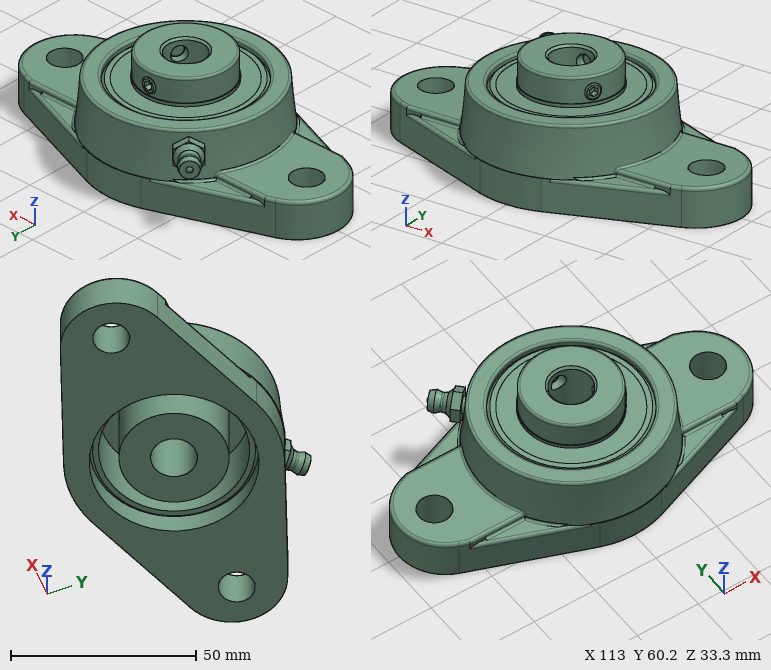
import cadquery as cq
import math

flange_length = 113.0
disc_radius = 29.8
disc_edge_x = 10.1
end_radius = 15.1
bolt_hole_diameter = 10.0
bolt_hole_x = 45.0
pad_height = 12.0
pad_half_width = 15.3
web_height = 10.1
edge_round = 1.0
square_edge_x = 12.4
root_fillet = 0.7
pad_root_end = 38.9

boss_top = 25.5
boss_foot_radius = 30.1
boss_top_radius = 28.6
boss_waist_radius = 29.2
boss_round = 0.8
seat_diameter = 45.8
seat_mouth_round = 0.8

ring_top = 24.5
ring_bottom = 5.6
ring_edge_chamfer = 0.9
shield_diameter = 40.8
shield_thickness = 1.7
shoulder_diameter = 29.7
shoulder_top = 25.5
collar_diameter = 29.2
collar_top = 33.3
collar_bottom = 2.3
collar_round = 0.7
bore_diameter = 12.7
bore_chamfer = 0.7

screw_diameter = 5.0
screw_z = 28.6
screw_outer_end = 14.8
screw_inner_end = 8.5
screw_chamfer = 0.5
socket_width = 2.5
socket_depth = 2.3
screw_azimuths = (-30.0, 90.0)

nipple_azimuth = 135.0
nipple_z = 19.3
stem_diameter = 5.0
stem_start = 26.0
hex_start = 29.7
hex_end = 32.4
hex_corner_diameter = 10.0
cone_base_radius = 4.3
cone_tip = 33.8
cone_tip_radius = 3.0
neck_start = 34.9
neck_end = 35.5
neck_radius = 2.7
head_widest = 37.2
head_radius = 3.3
head_end = 39.0
head_end_radius = 2.8
ball_diameter = 2.3
ball_projection = 0.6


def cylinder(diameter, bottom, top):
    return cq.Workplane("XY").workplane(offset=bottom).circle(diameter / 2).extrude(top - bottom)


def radial_plane(azimuth, distance, height):
    """Plane facing away from the bore axis, its local Y pointing up."""
    angle = math.radians(azimuth)
    outward = cq.Vector(math.cos(angle), math.sin(angle), 0)
    sideways = cq.Vector(-math.sin(angle), math.cos(angle), 0)
    origin = outward * distance + cq.Vector(0, 0, height)
    return cq.Plane(origin=origin, xDir=sideways, normal=outward)


def flange_outline(height, inset=0.0):
    """Disc and two rounded ends joined by straight edges that meet the ends tangentially."""
    end_x = flange_length / 2 - end_radius
    disc_edge_y = math.sqrt(disc_radius**2 - disc_edge_x**2)
    reach = math.hypot(end_x - disc_edge_x, disc_edge_y)
    to_disc = math.atan2(disc_edge_y, disc_edge_x - end_x)
    tangent_angle = to_disc - math.acos(end_radius / reach)
    tangent_x = end_x + end_radius * math.cos(tangent_angle)
    tangent_y = end_radius * math.sin(tangent_angle)
    return (
        cq.Workplane("XY")
        .moveTo(-disc_edge_x, disc_edge_y)
        .threePointArc((0, disc_radius), (disc_edge_x, disc_edge_y))
        .lineTo(tangent_x, tangent_y)
        .threePointArc((flange_length / 2, 0), (tangent_x, -tangent_y))
        .lineTo(disc_edge_x, -disc_edge_y)
        .threePointArc((0, -disc_radius), (-disc_edge_x, -disc_edge_y))
        .lineTo(-tangent_x, -tangent_y)
        .threePointArc((-flange_length / 2, 0), (-tangent_x, tangent_y))
        .close()
        .offset2D(-inset)
        .extrude(height)
    )


def make_flange():
    web = flange_outline(web_height).faces(">Z").edges("%LINE").fillet(edge_round)
    middle = cq.Workplane("XY").rect(2 * square_edge_x, flange_length).extrude(web_height)
    web = web.union(flange_outline(web_height).intersect(middle))
    pad_strip = cq.Workplane("XY").rect(flange_length, 2 * pad_half_width).extrude(pad_height)
    pads = flange_outline(pad_height).intersect(pad_strip).faces(">Z").edges().fillet(edge_round)
    return web.union(pads)


def make_boss():
    waist_z = (web_height + boss_top) / 2
    profile = (
        cq.Workplane("XZ")
        .moveTo(0, web_height)
        .lineTo(boss_foot_radius, web_height)
        .threePointArc((boss_waist_radius, waist_z), (boss_top_radius, boss_top))
        .lineTo(0, boss_top)
        .close()
    )
    return profile.revolve(360, (0, 0, 0), (0, 1, 0)).faces(">Z").edges().fillet(boss_round)


def round_pad_roots(body):
    """Round the inner corner where the boss rises from the pads."""
    reach = boss_foot_radius + root_fillet
    near_boss = cq.selectors.BoxSelector(
        (-reach, -pad_half_width, pad_height - root_fillet),
        (reach, pad_half_width, pad_height + root_fillet),
    )
    return body.edges(near_boss).fillet(root_fillet)


def make_web_roots():
    """Concave strips where the pads and the boss rise from the web."""
    strip_edge = pad_half_width + root_fillet
    strip_top = web_height + root_fillet
    sag = root_fillet * (1 - math.sqrt(0.5))
    pad_root = (
        cq.Workplane("YZ")
        .moveTo(pad_half_width, web_height - root_fillet)
        .lineTo(strip_edge, web_height - root_fillet)
        .lineTo(strip_edge, web_height)
        .threePointArc((pad_half_width + sag, web_height + sag), (pad_half_width, strip_top))
        .close()
        .extrude(pad_root_end, both=True)
    )
    boss_root = (
        cq.Workplane("XZ")
        .moveTo(boss_waist_radius, web_height)
        .lineTo(boss_foot_radius + root_fillet, web_height)
        .threePointArc((boss_foot_radius + sag, web_height + sag), (boss_foot_radius, strip_top))
        .lineTo(boss_waist_radius, strip_top)
        .close()
        .revolve(360, (0, 0, 0), (0, 1, 0))
    )
    flat_web = flange_outline(strip_top, edge_round)
    return pad_root.union(pad_root.mirror("XZ")).union(boss_root.intersect(flat_web))


def make_housing():
    body = round_pad_roots(make_flange().union(make_boss()))
    body = body.union(make_web_roots())
    body = body.cut(cylinder(seat_diameter, 0, boss_top))
    body = body.faces(">Z").edges(cq.selectors.RadiusNthSelector(0)).fillet(seat_mouth_round)
    for x in (-bolt_hole_x, bolt_hole_x):
        body = body.cut(cylinder(bolt_hole_diameter, 0, pad_height).translate((x, 0, 0)))
    return body.cut(make_stem())


def make_stem():
    plane = radial_plane(nipple_azimuth, stem_start, nipple_z)
    return cq.Workplane(plane).circle(stem_diameter / 2).extrude(hex_start - stem_start)


def make_ball():
    centre = radial_plane(nipple_azimuth, head_end + ball_projection - ball_diameter / 2, nipple_z).origin
    return cq.Workplane("XY").sphere(ball_diameter / 2).translate(centre)


def make_nipple():
    hex_plane = radial_plane(nipple_azimuth, hex_start, nipple_z)
    hexagon = (
        cq.Workplane(hex_plane)
        .transformed(rotate=(0, 0, 90))
        .polygon(6, hex_corner_diameter)
        .extrude(hex_end - hex_start)
    )
    axis_plane = radial_plane(nipple_azimuth, 0, nipple_z)
    head_plane = cq.Plane(origin=axis_plane.origin, xDir=axis_plane.xDir, normal=(0, 0, -1))
    outline = [
        (0, hex_end),
        (cone_base_radius, hex_end),
        (cone_tip_radius, cone_tip),
        (neck_radius, neck_start),
        (neck_radius, neck_end),
        (head_radius, head_widest),
        (head_end_radius, head_end),
        (0, head_end),
    ]
    head = (
        cq.Workplane(head_plane)
        .polyline(outline)
        .close()
        .revolve(360, (0, 0, 0), (0, 1, 0))
    )
    return make_stem().union(hexagon).union(head).cut(make_ball())


def make_outer_ring():
    ring = cylinder(seat_diameter, ring_bottom, ring_top).edges().chamfer(ring_edge_chamfer)
    return ring.cut(cylinder(shield_diameter, ring_bottom, ring_top))


def make_shield():
    shield = cylinder(shield_diameter, ring_top - shield_thickness, ring_top)
    return shield.cut(cylinder(shoulder_diameter, 0, collar_top))


def screw_blank(azimuth, inner, outer):
    plane = radial_plane(azimuth, inner, screw_z)
    return cq.Workplane(plane).circle(screw_diameter / 2).extrude(outer - inner)


def make_inner_ring():
    ring = cylinder(collar_diameter, shoulder_top, collar_top).faces(">Z").edges().fillet(collar_round)
    ring = ring.union(cylinder(shoulder_diameter, collar_bottom, shoulder_top))
    ring = ring.cut(cylinder(bore_diameter, collar_bottom, collar_top))
    ring = ring.faces(">Z").edges(cq.selectors.RadiusNthSelector(0)).chamfer(bore_chamfer)
    for azimuth in screw_azimuths:
        ring = ring.cut(screw_blank(azimuth, 0, collar_diameter))
    return ring


def make_set_screw(azimuth):
    screw = screw_blank(azimuth, screw_inner_end, screw_outer_end).edges().chamfer(screw_chamfer)
    socket_floor = radial_plane(azimuth, screw_outer_end - socket_depth, screw_z)
    socket = (
        cq.Workplane(socket_floor)
        .polygon(6, socket_width, circumscribed=True)
        .extrude(socket_depth)
    )
    return screw.cut(socket)


housing = make_housing()
outer_ring = make_outer_ring()
shield = make_shield()
inner_ring = make_inner_ring()
set_screws = [make_set_screw(azimuth) for azimuth in screw_azimuths]
nipple = make_nipple()
nipple_ball = make_ball()

result = cq.Compound.makeCompound([
    housing.solids().val(),
    outer_ring.solids().val(),
    shield.solids().val(),
    inner_ring.solids().val(),
    *[screw.solids().val() for screw in set_screws],
    nipple.solids().val(),
    nipple_ball.solids().val(),
])